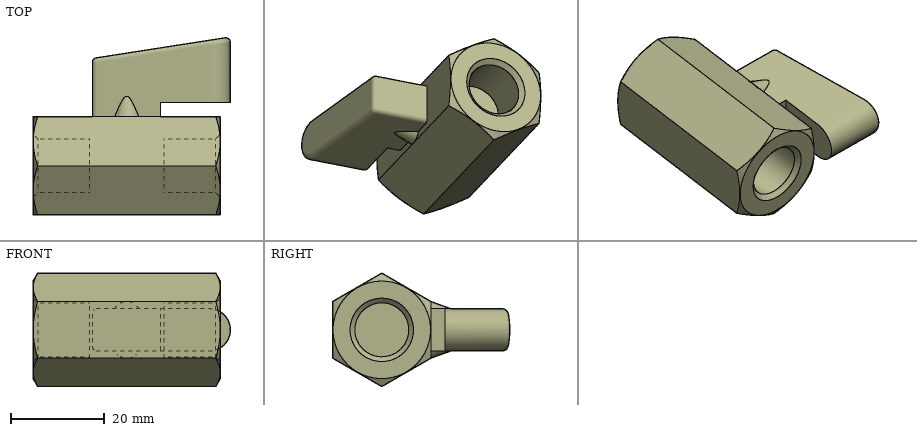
import cadquery as cq
import math

body_length = 40.0
across_flats = 21.0
across_corners = across_flats / math.cos(math.radians(30))
flat_y = across_flats / 2
corner_chamfer_angle = 30
face_diameter = 20.82
bore_diameter = 11.5
bore_depth = 12.0
bore_chamfer = 1.0

handle_start = 12.65
handle_end = 42.15
handle_thickness = 9.0
handle_start_height = 12.45
handle_end_height = 17.03
foot_end = 27.23
lever_clearance = 3.0
edge_radius = 1.0

boss_radius = 2.9
boss_spread = 6.05
boss_height = 8.1


def corner_envelope():
    """Turned shape about X whose conical ends trim the hexagon corners."""
    outer_radius = across_corners / 2 + 0.42
    face_radius = face_diameter / 2
    setback = (outer_radius - face_radius) * math.tan(math.radians(corner_chamfer_angle))
    return (
        cq.Workplane("XY")
        .moveTo(0, 0)
        .lineTo(0, face_radius)
        .lineTo(setback, outer_radius)
        .lineTo(body_length - setback, outer_radius)
        .lineTo(body_length, face_radius)
        .lineTo(body_length, 0)
        .close()
        .revolve(360, (0, 0, 0), (1, 0, 0))
    )


def end_bore():
    """Blind bore with a chamfered mouth, entering from the -X end."""
    radius = bore_diameter / 2
    return (
        cq.Workplane("XY")
        .moveTo(0, 0)
        .lineTo(0, radius + bore_chamfer)
        .lineTo(bore_chamfer, radius)
        .lineTo(bore_depth, radius)
        .lineTo(bore_depth, 0)
        .close()
        .revolve(360, (0, 0, 0), (1, 0, 0))
    )


def make_valve_body():
    hexagon = (
        cq.Workplane("YZ")
        .transformed(rotate=(0, 0, 90))
        .polygon(6, across_corners)
        .extrude(body_length)
    )
    near_bore = end_bore()
    far_bore = near_bore.mirror("YZ").translate((body_length, 0, 0))
    return hexagon.intersect(corner_envelope()).cut(near_bore).cut(far_bore)


def lever_plate():
    """Sloped plate with a half-round free end and rounded outer edges."""
    half_thickness = handle_thickness / 2
    arc_start = handle_end - half_thickness
    side_profile = (
        cq.Workplane("XY", origin=(0, flat_y, -half_thickness))
        .moveTo(handle_start, 0)
        .lineTo(handle_start, handle_start_height)
        .lineTo(handle_end, handle_end_height)
        .lineTo(handle_end, 0)
        .close()
        .extrude(handle_thickness)
    )
    plan_profile = (
        cq.Workplane("XZ", origin=(0, flat_y, 0))
        .moveTo(handle_start, -half_thickness)
        .lineTo(arc_start, -half_thickness)
        .threePointArc((handle_end, 0), (arc_start, half_thickness))
        .lineTo(handle_start, half_thickness)
        .close()
        .extrude(-handle_end_height)
    )
    plate = side_profile.intersect(plan_profile)
    plate = plate.faces("<X").edges("|Y").fillet(edge_radius)
    plate = plate.faces(">Y").edges().fillet(edge_radius)
    clearance = cq.Workplane("XY").box(
        handle_end - foot_end, lever_clearance, handle_thickness, centered=(False, False, True)
    )
    return plate.cut(clearance.translate((foot_end, flat_y, 0)))


def brace_boss(side):
    """Upright cone at the middle of the flat; side is +1 or -1 along Z."""
    base_centre = cq.Vector(body_length / 2, flat_y, side * (boss_spread - boss_radius))
    return cq.Workplane(
        cq.Solid.makeCone(boss_radius, 0, boss_height, base_centre, cq.Vector(0, 1, 0))
    )


def make_handle():
    handle = lever_plate()
    for side in (1, -1):
        handle = handle.union(brace_boss(side))
    return handle


valve_body = make_valve_body()
handle = make_handle()
result = cq.Compound.makeCompound([*valve_body.solids().vals(), *handle.solids().vals()])